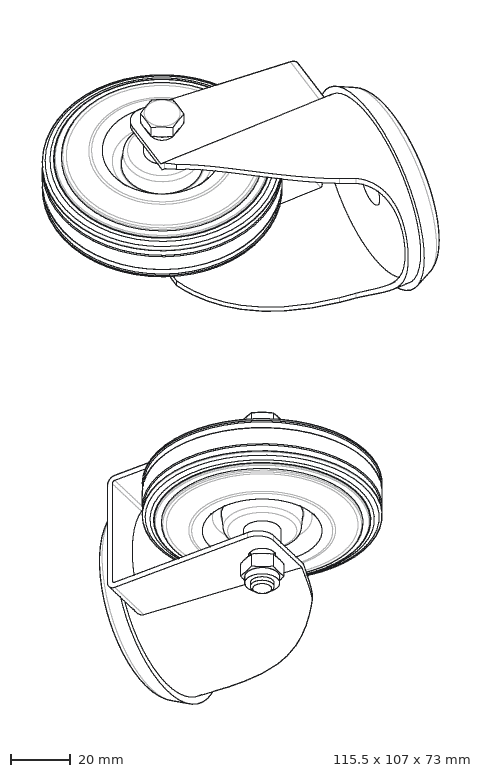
import cadquery as cq
import math


overall_length = 115.5
overall_height = 107.0
wheel_radius = 80.0 / 2
cap_radius = 73.0 / 2

kingpin_x = overall_length - wheel_radius - cap_radius
kingpin_hole_diameter = 12.0

tube_outer_radius = 68.0 / 2
tube_inner_radius = 64.0 / 2
sheet_thickness = tube_outer_radius - tube_inner_radius
fork_bottom_y = -7.9
cap_bottom_y = 58.0
cap_top_y = overall_height - wheel_radius
cap_cone_top_y = 64.2
cap_cone_top_radius = 33.7
cap_flat_radius = 29.7

bracket_top_y = 55.7
bracket_half_width = 22.1
bracket_bend_radius = 3.0
bracket_front_top_x = -6.4
bracket_front_bottom_x = -12.8
bracket_corner_radius = 6.0
bracket_back_x = 15.7
bracket_inner_half_width = bracket_half_width - sheet_thickness
bracket_web_y = bracket_top_y - sheet_thickness
axle_hole_diameter = 9.0

toe_start = (bracket_back_x, fork_bottom_y)
toe_end = (22.1, -6.8)
toe_radius = 19.6
sweep_end = (54.7, 37.2)
sweep_radius = 97.0
scoop_start = (56.5, 42.5)
scoop_end = (kingpin_x + tube_outer_radius, 53.2)
scoop_radius = 17.4

axle_diameter = 8.0
hub_sleeve_radius = 12.6 / 2
hub_sleeve_z = bracket_inner_half_width
wheel_face_z = 12.4
hub_flat_radius = 11.5
hub_round_radius = 13.0
hub_round_z = 11.0
hub_base_radius = 13.6
recess_floor_radius = 14.0
recess_floor_z = 5.7
recess_cone_bottom_radius = 16.6
recess_cone_bottom_z = 7.0
recess_top_radius = 20.0
face_flat_radius = 23.6
face_cone_top_radius = 24.5
face_cone_top_z = 12.1
face_cone_bottom_radius = 64.0 / 2
shoulder_z = 9.9
shoulder_radius = 33.6
shoulder_round = 0.4
step_z = 8.9
step_radius = 36.0
step_round = 0.3
rim_flat_z = 8.2
rim_flat_radius = 36.3
rim_cone_top_radius = 37.4
rim_cone_top_z = 7.9
rim_fillet_radius = 2.8
rim_cone_bottom_radius = 39.0
rim_cone_bottom_z = 7.0
lip_top_z = 6.4
lip_bottom_z = 6.0
groove_top_z = 5.7
groove_bottom_z = 3.5
groove_radius = 79.3 / 2
tread_half_width = 3.1

hex_across_flats = 12.6
hex_chamfer_radius = 12.0 / 2
hex_chamfer_height = 0.3
collar_radius = 11.7 / 2
head_bearing_z = 25.0
head_hex_z = 25.5
head_top_z = 30.5
nut_top_z = -25.1
nut_hex_bottom_z = -30.5
nut_bottom_z = -32.9
bolt_tip_z = -35.1
bolt_tip_chamfer = 0.8


def kingpin_disc(radius, bottom_y, top_y):
    """Cylinder on the kingpin axis between two Y levels."""
    plane = cq.Plane(origin=(kingpin_x, bottom_y, 0), xDir=(1, 0, 0), normal=(0, 1, 0))
    return cq.Workplane(plane).circle(radius).extrude(top_y - bottom_y)


def make_cap():
    """Cap with a conical side that rounds over into its flat top."""
    return (
        cq.Workplane("XY", origin=(kingpin_x, 0, 0))
        .moveTo(0, cap_bottom_y)
        .lineTo(cap_radius, cap_bottom_y)
        .lineTo(cap_cone_top_radius, cap_cone_top_y)
        .tangentArcPoint((cap_flat_radius, cap_top_y), relative=False)
        .lineTo(0, cap_top_y)
        .close()
        .revolve(360, (0, 0, 0), (0, 1, 0))
    )


def make_swept_tube():
    """Solid round column under the cap, trimmed to the swept side outline."""
    side_outline = (
        cq.Workplane("XY")
        .moveTo(kingpin_x - tube_outer_radius, cap_bottom_y)
        .lineTo(kingpin_x - tube_outer_radius, fork_bottom_y)
        .lineTo(*toe_start)
        .radiusArc(toe_end, -toe_radius)
        .radiusArc(sweep_end, -sweep_radius)
        .lineTo(*scoop_start)
        .radiusArc(scoop_end, scoop_radius)
        .lineTo(scoop_end[0], cap_bottom_y)
        .close()
        .extrude(tube_outer_radius, both=True)
    )
    return kingpin_disc(tube_outer_radius, fork_bottom_y, cap_bottom_y).intersect(side_outline)


def make_bracket():
    """Solid bracket block with bent upper edges and rounded front lower corners."""
    block = (
        cq.Workplane("XY")
        .moveTo(bracket_front_bottom_x, fork_bottom_y)
        .lineTo(bracket_back_x, fork_bottom_y)
        .lineTo(bracket_back_x, bracket_top_y)
        .lineTo(bracket_front_top_x, bracket_top_y)
        .close()
        .extrude(bracket_half_width, both=True)
    )
    front_corner = cq.selectors.NearestToPointSelector((bracket_front_bottom_x, fork_bottom_y, 0))
    return (
        block.edges("|X and >Y").fillet(bracket_bend_radius)
        .edges(front_corner).fillet(bracket_corner_radius)
    )


def make_bracket_slot():
    """Space between the bracket arms and under its web."""
    height = bracket_web_y - fork_bottom_y
    length = bracket_back_x - bracket_front_bottom_x
    return (
        cq.Workplane("XY")
        .box(length, height, 2 * bracket_inner_half_width, centered=(False, False, True))
        .edges("|X and >Y").fillet(bracket_bend_radius - sheet_thickness)
        .translate((bracket_front_bottom_x, fork_bottom_y, 0))
    )


def make_fork():
    """Cap, tube and bracket pressed as one piece, with kingpin and axle holes."""
    bore = kingpin_disc(tube_inner_radius, fork_bottom_y, cap_bottom_y)
    kingpin_hole = kingpin_disc(kingpin_hole_diameter / 2, fork_bottom_y, cap_top_y)
    axle_hole = cq.Workplane("XY").circle(axle_hole_diameter / 2).extrude(bracket_half_width, both=True)
    return (
        make_swept_tube()
        .union(make_bracket())
        .cut(make_bracket_slot())
        .cut(bore)
        .union(make_cap())
        .cut(kingpin_hole)
        .cut(axle_hole)
    )


def z_cylinder(radius, bottom_z, top_z):
    """Cylinder on the wheel axis between two Z levels."""
    return cq.Workplane("XY", origin=(0, 0, bottom_z)).circle(radius).extrude(top_z - bottom_z)


def make_wheel():
    """Wheel with tread, recessed hub and projecting hub sleeve."""
    side = (
        cq.Workplane("XZ")
        .moveTo(0, tread_half_width)
        .lineTo(wheel_radius, tread_half_width)
        .lineTo(groove_radius, groove_bottom_z)
        .lineTo(groove_radius, groove_top_z)
        .lineTo(wheel_radius, lip_bottom_z)
        .lineTo(wheel_radius, lip_top_z)
        .tangentArcPoint((rim_cone_bottom_radius, rim_cone_bottom_z), relative=False)
        .lineTo(rim_cone_top_radius, rim_cone_top_z)
        .radiusArc((rim_flat_radius, rim_flat_z), rim_fillet_radius)
        .lineTo(step_radius, rim_flat_z)
        .lineTo(step_radius, step_z - step_round)
        .tangentArcPoint((step_radius - step_round, step_z), relative=False)
        .lineTo(shoulder_radius, step_z)
        .lineTo(shoulder_radius, shoulder_z - shoulder_round)
        .tangentArcPoint((shoulder_radius - shoulder_round, shoulder_z), relative=False)
        .lineTo(face_cone_bottom_radius, shoulder_z)
        .lineTo(face_cone_top_radius, face_cone_top_z)
        .tangentArcPoint((face_flat_radius, wheel_face_z), relative=False)
        .lineTo(recess_top_radius, wheel_face_z)
        .lineTo(recess_cone_bottom_radius, recess_cone_bottom_z)
        .tangentArcPoint((recess_floor_radius, recess_floor_z), relative=False)
        .lineTo(hub_base_radius, recess_floor_z)
        .lineTo(hub_round_radius, hub_round_z)
        .tangentArcPoint((hub_flat_radius, wheel_face_z), relative=False)
        .lineTo(hub_sleeve_radius, wheel_face_z)
        .lineTo(hub_sleeve_radius, hub_sleeve_z)
        .lineTo(0, hub_sleeve_z)
        .close()
        .revolve(360, (0, 0, 0), (0, 1, 0))
    )
    tread = z_cylinder(wheel_radius, -tread_half_width, tread_half_width)
    bore = z_cylinder(axle_diameter / 2, -hub_sleeve_z, hub_sleeve_z)
    return tread.union(side).union(side.mirror("XY")).cut(bore)


def chamfered_hexagon(bottom_z, top_z):
    """Hexagon with flats facing +Y and -Y and corners turned down at both ends."""
    corner_radius = hex_across_flats / 2 / math.cos(math.pi / 6)
    height = top_z - bottom_z
    hexagon = cq.Workplane("XY", origin=(0, 0, bottom_z)).polygon(6, 2 * corner_radius).extrude(height)
    corner_overhang = corner_radius - hex_chamfer_radius
    blank = z_cylinder(hex_chamfer_radius + 2 * corner_overhang, bottom_z, top_z).edges().chamfer(
        2 * hex_chamfer_height, 2 * corner_overhang
    )
    return hexagon.intersect(blank)


def make_axle():
    """Axle bolt with its hexagon head and its collared nut."""
    shank = z_cylinder(axle_diameter / 2, bolt_tip_z, head_hex_z).faces("<Z").chamfer(bolt_tip_chamfer)
    head_washer = z_cylinder(collar_radius, head_bearing_z, head_hex_z)
    nut_collar = z_cylinder(collar_radius, nut_bottom_z, nut_hex_bottom_z)
    return (
        shank
        .union(head_washer)
        .union(chamfered_hexagon(head_hex_z, head_top_z))
        .union(chamfered_hexagon(nut_hex_bottom_z, nut_top_z))
        .union(nut_collar)
    )


fork = make_fork()
wheel = make_wheel()
axle = make_axle()

result = cq.Compound.makeCompound([fork.solids().val(), wheel.solids().val(), axle.solids().val()])